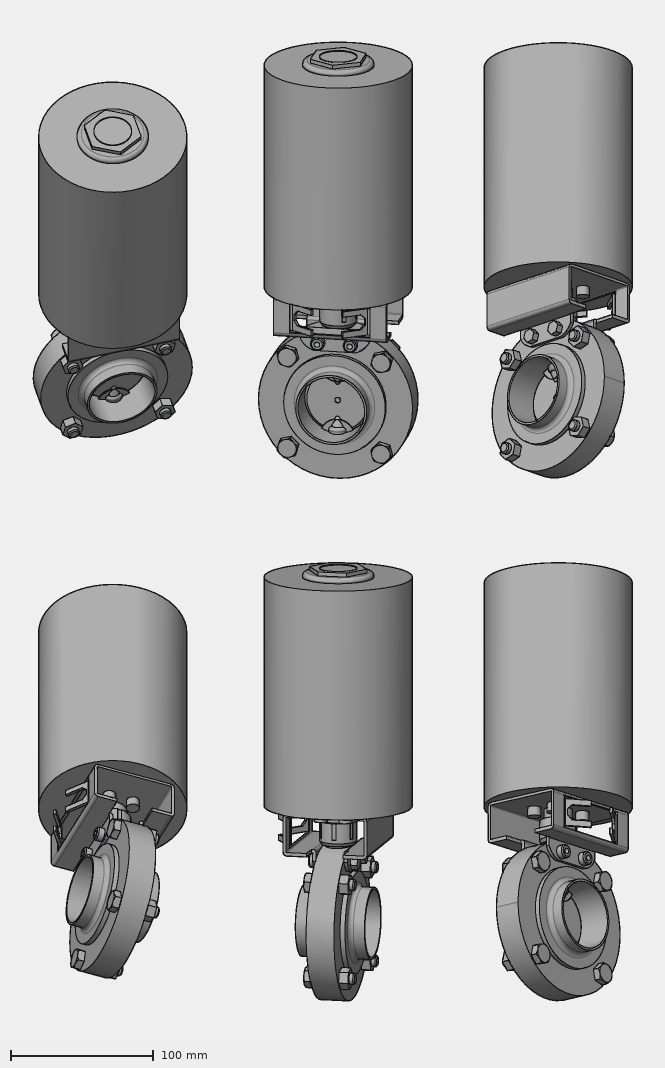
import cadquery as cq
import math


overall_height = 307.5
valve_diameter = 110.0
valve_width = 20.0
valve_face = valve_width / 2
top_of_part = overall_height - valve_diameter / 2

actuator_diameter = 104.0
actuator_bottom = 82.7
actuator_top = top_of_part - 6.5
cap_diameter = 50.0
cap_height = 3.7
cap_rounding = 3.0
hex_corner_diameter = 41.2
hex_recess_diameter = 26.5
hex_recess_depth = 0.5

flange_ring_diameter = 72.5
flange_ring_face = 13.5
pipe_diameter = 50.7
bore_diameter = 47.7
pipe_end = 25.0
pipe_root_radius = 3.5
disc_face_diameter = 44.0
disc_thickness = 5.0
disc_dimple_diameter = 4.0
disc_dimple_depth = 1.0
hub_diameter = 14.0
hub_inner_z = 19.0
hub_rounding = 2.8
hub_cone_tip_z = 11.7
hub_cone_end_diameter = 11.0
hub_pad_radius = 12.3
hub_pad_centre_z = 26.0
hub_pad_thickness = 6.8

bolt_circle_diameter = 94.7
bolt_diameter = 8.0
bolt_hex_flats = 13.2
bolt_head_end = 15.5
bolt_nut_end = 16.5
bolt_end = 20.3
bolt_end_chamfer = 1.0

bracket_half_length = 30.0
bracket_half_width = 40.3
bracket_bottom = 53.2
wall_thickness = 2.0
floor_thickness = 2.6
bend_radius = 2.8
inner_bend_radius = 0.5
leg_outer = valve_face + floor_thickness
floor_end = 13.2
leg_half_width = 24.5
leg_straight_end_z = 47.5
leg_bottom_z = 39.0
leg_bottom_half_width = 14.8
leg_arc_bulge = 2.0
leg_bend_radius = 2.0

window_half_width = 28.5
flap_bend_y = 26.8
flap_setback = 0.5
window_bottom = 56.5
window_top = 80.0
flap_bottom = 58.5
flap_top = 77.8
flap_tip_x = 40.3
flap_tip_y = 11.5
flap_slot_bottom = 62.7
flap_slot_top = 73.8
flap_slot_inset = 1.5
flap_slot_corner = 3.5

screw_y = 11.7
screw_z = 45.2
screw_head_diameter = 9.5
screw_head_end = 17.8
screw_nut_end = 17.5
screw_head_chamfer = 1.0
socket_diameter = 4.0
socket_depth = 2.5
screw_nut_corner_diameter = 10.0
screw_nut_turn = 12.0

stem_diameter = 20.0
stem_seating = 3.0
coupling_diameter = 26.0
coupling_top = 72.3
coupling_bottom = 58.0
coupling_foot_diameter = 23.5
coupling_foot_bottom = 55.7
groove_width = 2.8
groove_depth = 0.5
groove_bottom = 60.5
groove_angles = (210, 270, 330)
mount_bolt_diameter = 9.2
mount_bolt_circle_diameter = 35.7
mount_bolt_bottom = 74.0
mount_bolt_angles = (60, 120, 240, 300)


def rod_x(diameter, x_start, x_end, y=0, z=0):
    """Round bar along X."""
    start = min(x_start, x_end)
    bar = cq.Workplane("YZ", origin=(start, y, z)).circle(diameter / 2)
    return bar.extrude(abs(x_end - x_start))


def rod_z(diameter, z_start, z_end, x=0, y=0):
    """Round bar along Z."""
    return cq.Workplane("XY", origin=(x, y, z_start)).circle(diameter / 2).extrude(z_end - z_start)


def hex_x(corner_diameter, x_start, x_end, y, z, turn):
    """Hexagonal bar along X with one corner at the angle 'turn' from +Y."""
    start = min(x_start, x_end)
    bar = cq.Workplane("YZ", origin=(start, y, z)).transformed(rotate=(0, 0, turn))
    return bar.polygon(6, corner_diameter).extrude(abs(x_end - x_start))


def block(x_range, y_range, z_range):
    """Box given by its limits along each axis."""
    size = [limits[1] - limits[0] for limits in (x_range, y_range, z_range)]
    corner = cq.Vector(x_range[0], y_range[0], z_range[0])
    return cq.Workplane(cq.Solid.makeBox(*size, corner))


def make_actuator():
    """Cylinder with a rounded cap and a hexagon on top."""
    body = rod_z(actuator_diameter, actuator_bottom, actuator_top)
    cap = rod_z(cap_diameter, actuator_top, actuator_top + cap_height)
    cap = cap.faces(">Z").edges().fillet(cap_rounding)
    hexagon = cq.Workplane("XY", origin=(0, 0, actuator_top)).polygon(6, hex_corner_diameter)
    hexagon = hexagon.extrude(top_of_part - actuator_top)
    recess = rod_z(hex_recess_diameter, top_of_part - hex_recess_depth, top_of_part)
    return body.union(cap).union(hexagon).cut(recess)


def make_valve():
    """Valve body, flange rings and pipe stubs, turned about X, with the closed disc inside."""
    pipe_radius = pipe_diameter / 2
    root_end = flange_ring_face + pipe_root_radius
    root_mid = pipe_root_radius * (1 - math.sqrt(0.5))
    half_body = (
        cq.Workplane("XY")
        .moveTo(0, 0)
        .lineTo(0, valve_diameter / 2)
        .lineTo(valve_face, valve_diameter / 2)
        .lineTo(valve_face, flange_ring_diameter / 2)
        .lineTo(flange_ring_face, flange_ring_diameter / 2)
        .lineTo(flange_ring_face, pipe_radius + pipe_root_radius)
        .threePointArc((flange_ring_face + root_mid, pipe_radius + root_mid), (root_end, pipe_radius))
        .lineTo(pipe_end, pipe_radius)
        .lineTo(pipe_end, 0)
        .close()
        .revolve(360, (0, 0, 0), (1, 0, 0))
    )
    body = half_body.union(half_body.mirror("YZ"))
    body = body.cut(rod_x(bore_diameter, -pipe_end, pipe_end))
    return body.union(make_disc())


def make_disc():
    """Disc across the bore, with a stem hub on a raised pad at its top and bottom."""
    half = disc_thickness / 2
    rim_chamfer = (bore_diameter - disc_face_diameter) / 2
    disc = rod_x(bore_diameter, -half, half).edges().chamfer(rim_chamfer)
    hub = rod_z(hub_diameter, hub_inner_z, bore_diameter / 2).faces("<Z").edges().fillet(hub_rounding)
    cone_height = hub_inner_z - hub_cone_tip_z
    cone_tip = cq.Vector(0, 0, hub_cone_tip_z)
    cone = cq.Workplane(cq.Solid.makeCone(half, hub_cone_end_diameter / 2, cone_height, cone_tip))
    pad_half = hub_pad_thickness / 2
    pad = rod_x(2 * hub_pad_radius, -pad_half, pad_half, z=hub_pad_centre_z)
    pad = pad.intersect(rod_x(bore_diameter, -pad_half, pad_half))
    upper = hub.union(cone).union(pad)
    disc = disc.union(upper).union(upper.mirror("XY"))
    for side in (-1, 1):
        disc = disc.cut(rod_x(disc_dimple_diameter, side * half, side * (half - disc_dimple_depth)))
    return disc


def make_flange_bolt(angle):
    """Hexagon bolt through the valve body, head on -X and nut on +X."""
    y = bolt_circle_diameter / 2 * math.cos(math.radians(angle))
    z = bolt_circle_diameter / 2 * math.sin(math.radians(angle))
    hex_corners = bolt_hex_flats / math.cos(math.radians(30))
    turn = angle + 30
    shank = rod_x(bolt_diameter, 0, bolt_end, y, z).faces(">X").edges().chamfer(bolt_end_chamfer)
    head = hex_x(hex_corners, -bolt_head_end, 0, y, z, turn)
    corner_excess = (hex_corners - bolt_hex_flats) / 2
    trim = rod_x(hex_corners, -bolt_head_end, 0, y, z).faces("<X").edges().chamfer(corner_excess)
    head = head.intersect(trim)
    nut = hex_x(hex_corners, 0, bolt_nut_end, y, z, turn)
    return head.union(shank).union(nut)


def make_leg():
    """Bracket leg lying against the -X face of the valve body, bent from the bracket floor."""
    bend_top = bracket_bottom + floor_thickness
    arc_y = (leg_half_width + leg_bottom_half_width) / 2 + leg_arc_bulge
    arc_z = (leg_straight_end_z + leg_bottom_z) / 2
    leg = (
        cq.Workplane("YZ", origin=(-leg_outer, 0, 0))
        .moveTo(-leg_half_width, bend_top)
        .lineTo(-leg_half_width, leg_straight_end_z)
        .threePointArc((-arc_y, arc_z), (-leg_bottom_half_width, leg_bottom_z))
        .lineTo(leg_bottom_half_width, leg_bottom_z)
        .threePointArc((arc_y, arc_z), (leg_half_width, leg_straight_end_z))
        .lineTo(leg_half_width, bend_top)
        .close()
        .extrude(floor_thickness)
    )
    leg_width = (-leg_half_width, leg_half_width)
    leg = leg.union(block((-floor_end, -valve_face), leg_width, (bracket_bottom, bend_top)))
    return leg.faces(">Z").edges(">X").fillet(leg_bend_radius)


def make_flap():
    """Slotted flap bent outward from the +Y edge of the window."""
    bend_x = -bracket_half_length + flap_setback
    run_x = bend_x + flap_tip_x
    run_y = flap_bend_y - flap_tip_y
    length = math.hypot(run_x, run_y)
    across_x = wall_thickness * run_y / length
    across_y = wall_thickness * run_x / length
    bend_shift = wall_thickness * math.tan(math.atan2(run_x, run_y) / 2)
    sheet = (
        cq.Workplane("XY", origin=(0, 0, flap_bottom))
        .moveTo(bend_x, window_half_width)
        .lineTo(bend_x, flap_bend_y)
        .lineTo(-flap_tip_x, flap_tip_y)
        .lineTo(-flap_tip_x + across_x, flap_tip_y - across_y)
        .lineTo(bend_x + wall_thickness, flap_bend_y - bend_shift)
        .lineTo(bend_x + wall_thickness, window_half_width)
        .close()
        .extrude(flap_top - flap_bottom)
    )
    plane = cq.Plane(origin=(bend_x, flap_bend_y, 0), xDir=(-run_x, -run_y, 0), normal=(-run_y, run_x, 0))
    slot = (
        cq.Workplane(plane)
        .moveTo(length, flap_slot_bottom)
        .lineTo(flap_slot_inset + flap_slot_corner, flap_slot_bottom)
        .lineTo(flap_slot_inset, flap_slot_bottom + flap_slot_corner)
        .lineTo(flap_slot_inset, flap_slot_top - flap_slot_corner)
        .lineTo(flap_slot_inset + flap_slot_corner, flap_slot_top)
        .lineTo(length, flap_slot_top)
        .close()
        .extrude(-wall_thickness)
    )
    return sheet.cut(slot)


def make_bracket():
    """Bent sheet frame between actuator and valve, with legs, window and flaps."""
    width = (-bracket_half_width, bracket_half_width)
    inner_half = bracket_half_length - wall_thickness
    frame = block((-bracket_half_length, bracket_half_length), width, (bracket_bottom, actuator_bottom))
    frame = frame.edges("|Y").fillet(bend_radius)
    inner_z = (bracket_bottom + floor_thickness, actuator_bottom - wall_thickness)
    hollow = block((-inner_half, inner_half), width, inner_z).edges("|Y").fillet(inner_bend_radius)
    floor_gap = block((-floor_end, floor_end), width, (bracket_bottom, inner_z[0]))
    window_x = (-bracket_half_length, -inner_half)
    window = block(window_x, (-window_half_width, window_half_width), (window_bottom, window_top))
    frame = frame.cut(hollow).cut(floor_gap).cut(window)
    for part in (make_leg(), make_leg().mirror("YZ"), make_flap(), make_flap().mirror("XZ")):
        frame = frame.union(part)
    return frame


def make_bracket_screw(y):
    """Socket screw on the -X leg with its nut on the +X leg."""
    head = rod_x(screw_head_diameter, -screw_head_end, -valve_face, y, screw_z)
    head = head.faces("<X").edges().chamfer(screw_head_chamfer)
    socket_start = cq.Vector(-screw_head_end, y, screw_z)
    socket = cq.Solid.makeCone(socket_diameter / 2, 0, socket_depth, socket_start, cq.Vector(1, 0, 0))
    nut = hex_x(screw_nut_corner_diameter, valve_face, screw_nut_end, y, screw_z, screw_nut_turn)
    return head.cut(cq.Workplane(socket)).union(nut)


def make_coupling():
    """Stem, grooved coupling with tapered foot, and four mounting bolt heads."""
    radius = coupling_diameter / 2
    stem = rod_z(stem_diameter, valve_diameter / 2 - stem_seating, actuator_bottom)
    collar = rod_z(coupling_diameter, coupling_bottom, coupling_top)
    for angle in groove_angles:
        groove = block(
            (radius - groove_depth, radius + groove_depth),
            (-groove_width / 2, groove_width / 2),
            (groove_bottom, coupling_top),
        )
        collar = collar.cut(groove.rotate((0, 0, 0), (0, 0, 1), angle))
    foot_height = coupling_bottom - coupling_foot_bottom
    foot_start = cq.Vector(0, 0, coupling_foot_bottom)
    foot = cq.Solid.makeCone(coupling_foot_diameter / 2, radius, foot_height, foot_start)
    coupling = stem.union(collar).union(cq.Workplane(foot))
    for angle in mount_bolt_angles:
        x = mount_bolt_circle_diameter / 2 * math.cos(math.radians(angle))
        y = mount_bolt_circle_diameter / 2 * math.sin(math.radians(angle))
        coupling = coupling.union(rod_z(mount_bolt_diameter, mount_bolt_bottom, actuator_bottom, x, y))
    return coupling


result = make_actuator().union(make_valve()).union(make_bracket()).union(make_coupling())
for bolt_angle in (45, 135, 225, 315):
    result = result.union(make_flange_bolt(bolt_angle))
for side in (-1, 1):
    result = result.union(make_bracket_screw(side * screw_y))